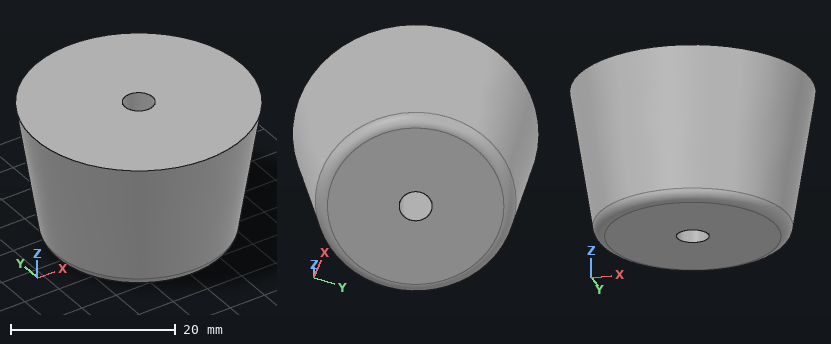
import cadquery as cq

top_diameter = 30.0
bottom_diameter = 24.0
height = 19.0
edge_radius = 1.5
bore_diameter = 4.0


def make_foot():
    """Tapered round foot with a rounded lower edge and a central bore."""
    profile = [
        (0, 0),
        (bottom_diameter / 2, 0),
        (top_diameter / 2, height),
        (0, height),
    ]
    cone = cq.Workplane("XZ").polyline(profile).close().revolve(360, (0, 0), (0, 1))
    rounded = cone.faces("<Z").edges().fillet(edge_radius)
    return rounded.faces(">Z").workplane().hole(bore_diameter)


foot = make_foot()

result = cq.Compound.makeCompound([foot.val()])